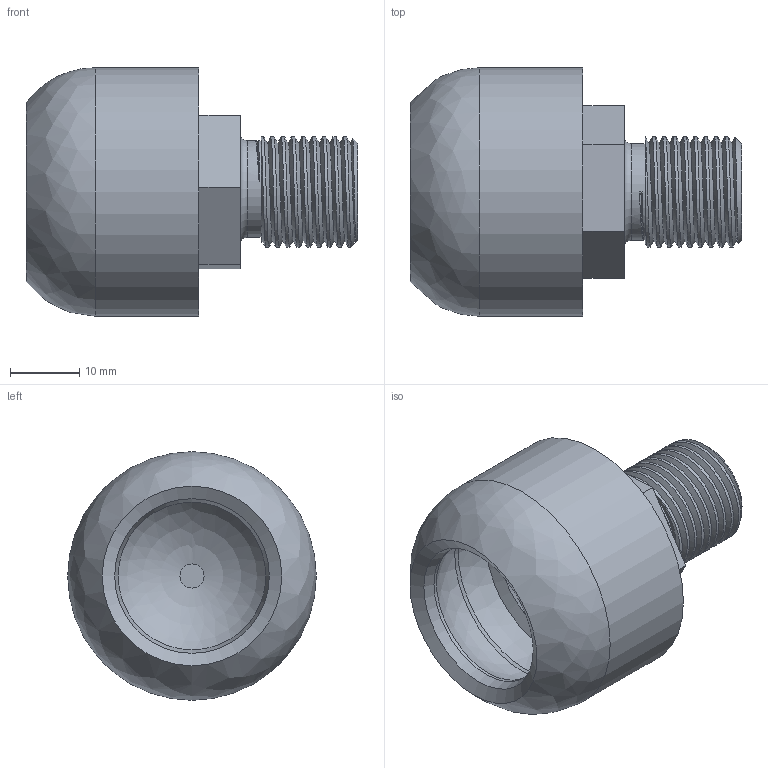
import cadquery as cq
import math

head_length = 25.0
hex_length = 6.0
neck_length = 3.0
thread_length = 14.0

head_radius = 18.0
mouth_radius = 13.0
dome_length = 10.0

mouth_chamfer_angle = 30.0
throat_radius = 11.2
lip_radius = 10.7
lip_start_x = 2.6
lip_length = 0.5
front_sphere_radius = 14.0
joint_x = 10.0
joint_length = 0.5
rear_sphere_radius = 13.65
rear_sphere_center_x = 11.0
shoulder_x = 15.4
shoulder_width = 1.6
shoulder_angle = 30.0
dish_radius = 14.0
dish_floor_radius = 1.75

hex_corner_diameter = 25.0
hex_twist = 3.0

neck_radius = 7.0
neck_offset_z = 0.43
neck_fillet = 1.0

thread_radius = 8.0
thread_pitch = 1.5
thread_end_chamfer = 1.0
thread_depth = 0.92
groove_angle = 60.0
groove_lead_in = 0.6
groove_overshoot = 0.3

hex_start_x = head_length
hex_end_x = hex_start_x + hex_length
thread_start_x = hex_end_x + neck_length
thread_end_x = thread_start_x + thread_length
groove_start_x = thread_start_x - groove_lead_in


def revolve_about_x(profile):
    return profile.close().revolve(360, (0, 0, 0), (1, 0, 0))


def make_head():
    """Cylinder with a domed front; the dome arc is tangent to the cylinder."""
    rim_drop = head_radius - mouth_radius
    dome_radius = (dome_length**2 + rim_drop**2) / (2 * rim_drop)
    dome_center_r = head_radius - dome_radius
    half_angle = 0.5 * math.asin(dome_length / dome_radius)
    dome_middle = (
        dome_length - dome_radius * math.sin(half_angle),
        dome_center_r + dome_radius * math.cos(half_angle),
    )
    profile = (
        cq.Workplane("XZ")
        .lineTo(0, mouth_radius)
        .threePointArc(dome_middle, (dome_length, head_radius))
        .lineTo(head_length, head_radius)
        .lineTo(head_length, 0)
    )
    return revolve_about_x(profile)


def sphere_point(center_x, radius, x):
    """Profile point (x, r) at station x on a sphere centred on the X axis."""
    return (x, math.sqrt(radius**2 - (x - center_x) ** 2))


def make_cavity():
    """Turned cavity: mouth cone, tapered throat, lip, front and rear spheres, sloped shoulder and dish."""
    mouth_slope = math.tan(math.radians(mouth_chamfer_angle))
    mouth_depth = (mouth_radius - throat_radius) * mouth_slope
    lip_end_x = lip_start_x + lip_length

    front_center_x = lip_end_x + math.sqrt(front_sphere_radius**2 - lip_radius**2)
    front_middle = sphere_point(front_center_x, front_sphere_radius, (lip_end_x + joint_x) / 2)
    front_end = sphere_point(front_center_x, front_sphere_radius, joint_x)

    rear_start_x = joint_x + joint_length
    rear_start = sphere_point(rear_sphere_center_x, rear_sphere_radius, rear_start_x)
    rear_middle = sphere_point(rear_sphere_center_x, rear_sphere_radius, (rear_start_x + shoulder_x) / 2)
    rear_end = sphere_point(rear_sphere_center_x, rear_sphere_radius, shoulder_x)

    dish_x = shoulder_x + shoulder_width * math.tan(math.radians(shoulder_angle))
    dish_mouth_radius = rear_end[1] - shoulder_width
    dish_center_x = dish_x - math.sqrt(dish_radius**2 - dish_mouth_radius**2)
    dish_floor_x = dish_center_x + math.sqrt(dish_radius**2 - dish_floor_radius**2)
    dish_middle = sphere_point(dish_center_x, dish_radius, (dish_x + dish_floor_x) / 2)

    profile = (
        cq.Workplane("XZ")
        .lineTo(0, mouth_radius)
        .lineTo(mouth_depth, throat_radius)
        .lineTo(lip_start_x, lip_radius)
        .lineTo(lip_end_x, lip_radius)
        .threePointArc(front_middle, front_end)
        .lineTo(*rear_start)
        .threePointArc(rear_middle, rear_end)
        .lineTo(dish_x, dish_mouth_radius)
        .threePointArc(dish_middle, (dish_floor_x, dish_floor_radius))
        .lineTo(dish_floor_x, 0)
    )
    return revolve_about_x(profile)


def make_hexagon():
    return (
        cq.Workplane("YZ", origin=(hex_start_x, 0, 0))
        .transformed(rotate=(0, 0, -hex_twist))
        .polygon(6, hex_corner_diameter)
        .extrude(hex_length)
    )


def make_neck():
    """Cylindrical neck flaring into the hexagon face."""
    flare_radius = neck_radius + neck_fillet
    bend = neck_fillet * math.sqrt(0.5)
    profile = (
        cq.Workplane("XZ")
        .moveTo(hex_end_x, 0)
        .lineTo(hex_end_x, flare_radius)
        .threePointArc(
            (hex_end_x + neck_fillet - bend, flare_radius - bend),
            (hex_end_x + neck_fillet, neck_radius),
        )
        .lineTo(thread_start_x, neck_radius)
        .lineTo(thread_start_x, 0)
    )
    return revolve_about_x(profile).translate((0, 0, neck_offset_z))


def make_thread_blank():
    return (
        cq.Workplane("YZ", origin=(thread_start_x, 0, 0))
        .circle(thread_radius)
        .extrude(thread_length)
        .faces(">X")
        .chamfer(thread_end_chamfer)
    )


def make_thread_groove():
    """Right-hand V groove that starts on the +Z side of the neck and runs out past the end."""
    root_radius = thread_radius - thread_depth
    outer_radius = thread_radius + groove_overshoot
    outer_half = (outer_radius - root_radius) * math.tan(math.radians(groove_angle / 2))
    helix_height = thread_end_x + thread_pitch - groove_start_x
    helix = cq.Wire.makeHelix(thread_pitch, helix_height, root_radius)
    groove = (
        cq.Workplane("XZ")
        .moveTo(root_radius, 0)
        .lineTo(outer_radius, -outer_half)
        .lineTo(outer_radius, outer_half)
        .close()
        .sweep(cq.Workplane(helix), isFrenet=True)
    )
    groove = groove.rotate((0, 0, 0), (0, 1, 0), 90)
    groove = groove.rotate((0, 0, 0), (1, 0, 0), 180)
    return groove.translate((groove_start_x, 0, 0))


head = make_head().cut(make_cavity())
shank = make_neck().union(make_thread_blank()).cut(make_thread_groove())
result = head.union(make_hexagon()).union(shank)